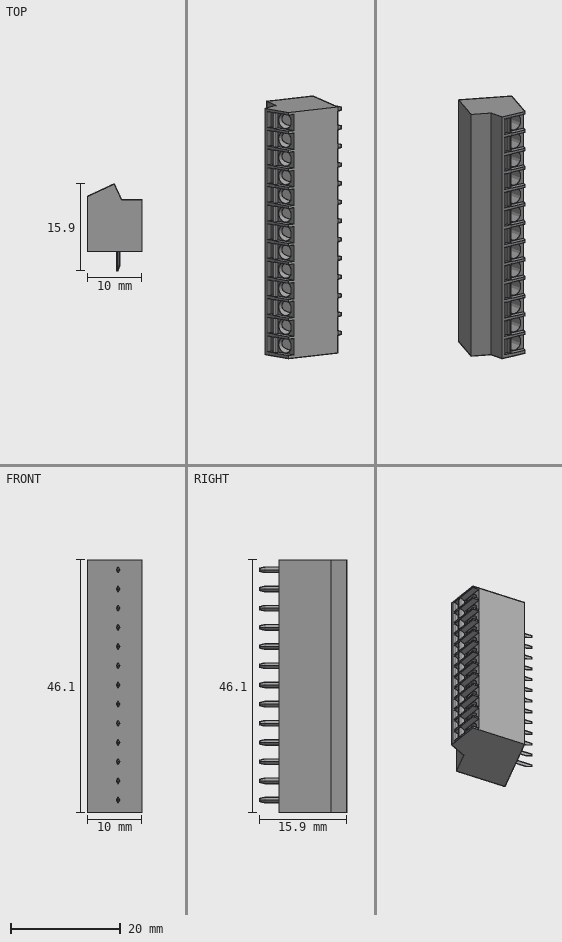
import cadquery as cq
import math

POLE_COUNT = 13
PITCH = 3.5
END_PLATE = 0.6
LENGTH = POLE_COUNT * PITCH + END_PLATE
WIDTH = 10.0
PEAK_HEIGHT = 12.4
SHOULDER_HEIGHT = 9.5
PEAK_X = 4.9
SLOPE_DEGREES = 25.0
SLOPE_SIN = math.sin(math.radians(SLOPE_DEGREES))
SLOPE_COS = math.cos(math.radians(SLOPE_DEGREES))
SLOPE_TAN = SLOPE_SIN / SLOPE_COS
SLOPE_FOOT_HEIGHT = PEAK_HEIGHT - PEAK_X * SLOPE_TAN
NOTCH_X = PEAK_X + (PEAK_HEIGHT - SHOULDER_HEIGHT) * SLOPE_TAN

OPENING_TO_TOP = 1.985
PIN_TO_TOP = 1.79
CUT_CLEARANCE = 2.0

POCKET_WIDTH = 3.04
POCKET_DEPTH = 1.08
POCKET_END = 3.18

BUTTON_WIDTH = 2.92
BUTTON_LIP = 0.42
SLOT_WIDTH = 1.0
SLOT_START = POCKET_END + BUTTON_LIP
SLOT_END = SLOT_START + SLOT_WIDTH
SLOT_DEPTH = 0.8
EDGE_RADIUS = 0.2

HOLE_RADIUS = 1.45
HOLE_CENTER = 1.62
CONTACT_START_DEPTH = 0.93
CONTACT_TO_AXIS_DEGREES = 36.9

PIN_LENGTH = 3.5
PIN_RIDGE_X = 5.93
PIN_HALF_HEIGHT = 0.53
PIN_ROUND_BULGE = 0.28
PIN_FLAT_DEGREES = 30.0
PIN_TIP_LENGTH = 1.0
PIN_TIP_DEGREES = 17.0


def pole_heights(offset_from_top):
    return [LENGTH - offset_from_top - pole * PITCH for pole in range(POLE_COUNT)]


def slope_point(along, depth):
    x = along * SLOPE_COS + depth * SLOPE_SIN
    y = SLOPE_FOOT_HEIGHT + along * SLOPE_SIN - depth * SLOPE_COS
    return x, y


def slope_prism(outline, width):
    """Prism along Z, centred on Z = 0, from (along, depth) corners."""
    corners = [slope_point(along, depth) for along, depth in outline]
    return cq.Workplane("XY").polyline(corners).close().extrude(width / 2, both=True)


def slope_box(start, end, depth, width):
    outline = [(start, -CUT_CLEARANCE), (end, -CUT_CLEARANCE), (end, depth), (start, depth)]
    return slope_prism(outline, width)


def edge_rounding(edge):
    """Sliver that rounds the convex edge where a wall facing down the slope meets the slope."""
    arc_inset = EDGE_RADIUS * (1 - math.sqrt(0.5))
    return (
        cq.Workplane("XY")
        .moveTo(*slope_point(edge, 0))
        .lineTo(*slope_point(edge + EDGE_RADIUS, 0))
        .threePointArc(slope_point(edge + arc_inset, arc_inset), slope_point(edge, EDGE_RADIUS))
        .close()
        .extrude(BUTTON_WIDTH / 2, both=True)
    )


def make_housing():
    outline = [
        (0, 0),
        (WIDTH, 0),
        (WIDTH, SHOULDER_HEIGHT),
        (NOTCH_X, SHOULDER_HEIGHT),
        (PEAK_X, PEAK_HEIGHT),
        (0, SLOPE_FOOT_HEIGHT),
    ]
    return cq.Workplane("XY").polyline(outline).close().extrude(LENGTH)


def make_wire_hole():
    """Hole square to the slope; the contact plate cuts it off from its far wall down to its near wall."""
    near = HOLE_CENTER - HOLE_RADIUS
    far = HOLE_CENTER + HOLE_RADIUS
    near_depth = CONTACT_START_DEPTH + 2 * HOLE_RADIUS / math.tan(math.radians(CONTACT_TO_AXIS_DEGREES))
    start_depth = POCKET_DEPTH + CONTACT_START_DEPTH
    end_depth = POCKET_DEPTH + near_depth
    x, y = slope_point(HOLE_CENTER, 0)
    axis_start = cq.Vector(x, y, 0)
    axis_direction = cq.Vector(SLOPE_SIN, -SLOPE_COS, 0)
    cylinder = cq.Workplane(cq.Solid.makeCylinder(HOLE_RADIUS, end_depth, axis_start, axis_direction))
    open_part = slope_prism(
        [(near, -CUT_CLEARANCE), (far, -CUT_CLEARANCE), (far, start_depth), (near, end_depth)],
        2 * HOLE_RADIUS + CUT_CLEARANCE,
    )
    return cylinder.intersect(open_part)


def make_pole_opening():
    """Everything one pole removes from the sloped face, centred on Z = 0."""
    pocket = slope_box(-CUT_CLEARANCE, POCKET_END, POCKET_DEPTH, POCKET_WIDTH)
    slot = slope_box(SLOT_START, SLOT_END, SLOT_DEPTH, BUTTON_WIDTH)
    opening = pocket.union(slot).union(make_wire_hole())
    for edge in (POCKET_END, SLOT_END):
        opening = opening.union(edge_rounding(edge))
    return opening


def make_pin():
    """Pin along -Y, centred on Z = 0, its root on the housing base."""
    flat_run = PIN_HALF_HEIGHT * math.tan(math.radians(PIN_FLAT_DEGREES))
    shoulder_x = PIN_RIDGE_X - flat_run
    pin = (
        cq.Workplane("XZ")
        .moveTo(shoulder_x, PIN_HALF_HEIGHT)
        .lineTo(PIN_RIDGE_X, 0)
        .lineTo(shoulder_x, -PIN_HALF_HEIGHT)
        .threePointArc((shoulder_x - PIN_ROUND_BULGE, 0), (shoulder_x, PIN_HALF_HEIGHT))
        .close()
        .extrude(PIN_LENGTH)
    )
    tip_inset = PIN_TIP_LENGTH * math.tan(math.radians(PIN_TIP_DEGREES))
    wedge = (
        cq.Workplane("XY")
        .polyline(
            [
                (PIN_RIDGE_X, PIN_TIP_LENGTH - PIN_LENGTH),
                (PIN_RIDGE_X, -PIN_LENGTH),
                (PIN_RIDGE_X - tip_inset, -PIN_LENGTH),
            ]
        )
        .close()
        .extrude(2 * PIN_HALF_HEIGHT, both=True)
    )
    for turn in (PIN_FLAT_DEGREES, -PIN_FLAT_DEGREES):
        pin = pin.cut(wedge.rotate((PIN_RIDGE_X, 0, 0), (PIN_RIDGE_X, 1, 0), turn))
    return pin


result = make_housing()

pole_opening = make_pole_opening()
for height in pole_heights(OPENING_TO_TOP):
    result = result.cut(pole_opening.translate((0, 0, height)))

pin = make_pin()
for height in pole_heights(PIN_TO_TOP):
    result = result.union(pin.translate((0, 0, height)))